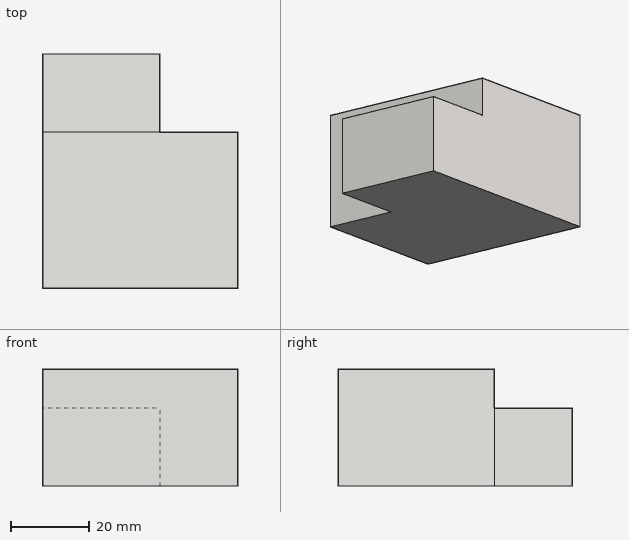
import cadquery as cq

block_length = 50.0
block_depth = 40.0
block_height = 30.0

bar_length = 30.0
bar_depth = 60.0
bar_height = 20.0


def corner_box(length, depth, height):
    """Box with one corner at the origin, extending along +X, +Y and +Z."""
    return cq.Workplane("XY").box(length, depth, height, centered=False)


main_block = corner_box(block_length, block_depth, block_height)
lower_bar = corner_box(bar_length, bar_depth, bar_height)

result = main_block.union(lower_bar, clean=False)